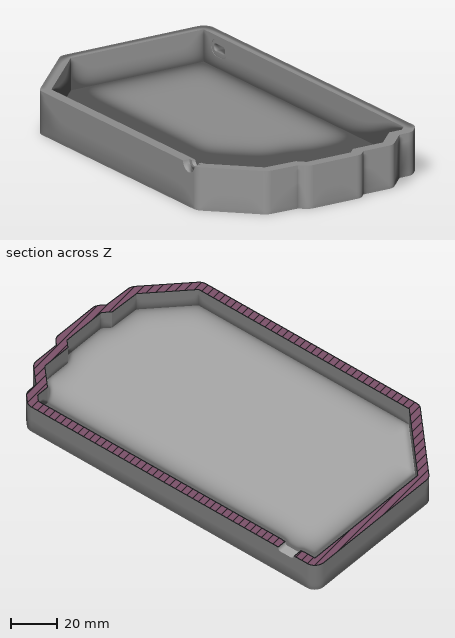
import cadquery as cq

length = 181.0
width = 108.7
height = 19.7
wall = 5.0
floor = 5.0

cavity_left = wall
cavity_right = length - wall
cavity_front = wall
cavity_back = width - wall

front_left_cut = 30.0
back_right_cut = 2.7
shoulder_back_x = 163.0
shoulder_x = 172.5
front_shoulder_x = 172.0
bump_step = cavity_right - shoulder_x
bump_back_y = 66.0
bump_front_y = 43.2
shoulder_back_y = 84.8
front_right_y = 24.2
front_right_x = 153.2

notch_x = 149.3
notch_axis_z = height + 0.4
notch_radius = 4.5
notch_depth = 3.3
throat_radius = 2.5

opening_x = 17.0
opening_z = 14.1
recess_length = 12.1
recess_height = 7.6
recess_depth = 0.2
slot_length = 8.9
slot_height = 3.5

cavity_points = [
    (cavity_left, cavity_back),
    (shoulder_back_x - back_right_cut, cavity_back),
    (shoulder_back_x, cavity_back - back_right_cut),
    (shoulder_back_x, shoulder_back_y + shoulder_x - shoulder_back_x),
    (shoulder_x, shoulder_back_y),
    (shoulder_x, bump_back_y + bump_step),
    (cavity_right, bump_back_y),
    (cavity_right, bump_front_y),
    (shoulder_x, bump_front_y - bump_step),
    (front_shoulder_x, front_right_y),
    (front_right_x, cavity_front),
    (cavity_left + front_left_cut, cavity_front),
    (cavity_left, cavity_front + front_left_cut),
]


def tray():
    """Open tray whose outer side is the cavity outline grown by the wall."""
    outline = cq.Workplane("XY").polyline(cavity_points).close()
    body = outline.offset2D(wall, "arc").extrude(height)
    cavity = (
        cq.Workplane("XY", origin=(0, 0, floor))
        .polyline(cavity_points).close().extrude(height - floor)
    )
    return body.cut(cavity)


def front_notch():
    """Wide round groove from outside, narrowing to a throat into the cavity."""
    plane = cq.Workplane("XZ", origin=(notch_x, 0, notch_axis_z))
    groove = plane.circle(notch_radius).extrude(-notch_depth)
    throat = plane.circle(throat_radius).extrude(-wall)
    return groove.union(throat)


def back_opening():
    """Oval recess in the inner face of the back wall with a slot through it."""
    plane = cq.Workplane("XZ", origin=(opening_x, cavity_back, opening_z))
    recess = plane.slot2D(recess_length, recess_height).extrude(-recess_depth)
    slot = plane.slot2D(slot_length, slot_height).extrude(-wall)
    return recess.union(slot)


result = tray().cut(front_notch()).cut(back_opening())